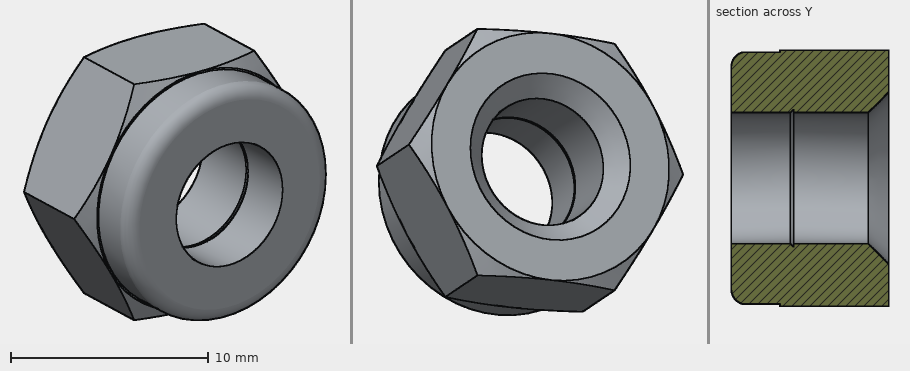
import cadquery as cq
import math

across_corners = 15.01
across_flats = across_corners * math.cos(math.radians(30))
hex_length = 5.52
corner_bevel_angle = 30.0

total_length = 8.0
collar_diameter = 12.8
rim_length = 0.6
rim_radius = 0.8

bore_diameter = 6.65
countersink_diameter = 8.75
countersink_angle = 45.0

groove_start = 4.83
groove_depth = 0.17
groove_angle = 45.0


def cylinder(diameter, length):
    """Cylinder along +X, starting at the front face."""
    return cq.Workplane("YZ").circle(diameter / 2).extrude(length)


def revolve_about_x(points):
    """Solid of revolution from an (x, radius) outline."""
    return cq.Workplane("XY").polyline(points).close().revolve(360, (0, 0, 0), (1, 0, 0))


def make_hexagon():
    """Hexagonal prism with its corners bevelled at both ends."""
    flat_radius = across_flats / 2
    corner_radius = across_corners / 2
    bevel_length = (corner_radius - flat_radius) * math.tan(math.radians(corner_bevel_angle))
    bevel_envelope = revolve_about_x([
        (0, 0),
        (0, flat_radius),
        (bevel_length, corner_radius),
        (hex_length - bevel_length, corner_radius),
        (hex_length, flat_radius),
        (hex_length, 0),
    ])
    prism = cq.Workplane("YZ").polygon(6, across_corners).extrude(hex_length)
    return prism.intersect(bevel_envelope)


def make_collar():
    """Collar whose rear rim is an arc that runs tangent into the rear face."""
    radius = collar_diameter / 2
    rim_start = total_length - rim_length
    arc_center_x = total_length - rim_radius
    start_angle = math.acos((rim_start - arc_center_x) / rim_radius)
    arc_center_y = radius - rim_radius * math.sin(start_angle)
    arc_middle = (
        arc_center_x + rim_radius * math.cos(start_angle / 2),
        arc_center_y + rim_radius * math.sin(start_angle / 2),
    )
    outline = (
        cq.Workplane("XY")
        .lineTo(0, radius)
        .lineTo(rim_start, radius)
        .threePointArc(arc_middle, (total_length, arc_center_y))
        .lineTo(total_length, 0)
        .close()
    )
    return outline.revolve(360, (0, 0, 0), (1, 0, 0))


def make_countersink():
    """Cone that narrows from the front face down to the bore."""
    radius = countersink_diameter / 2
    depth = (radius - bore_diameter / 2) / math.tan(math.radians(countersink_angle))
    return revolve_about_x([(0, 0), (0, radius), (depth, bore_diameter / 2), (depth, 0)])


def make_groove():
    """Bore groove with a square front wall and a rear wall tapering back to the bore."""
    radius = bore_diameter / 2
    length = groove_depth / math.tan(math.radians(groove_angle))
    return revolve_about_x([
        (groove_start, 0),
        (groove_start, radius + groove_depth),
        (groove_start + length, radius),
        (groove_start + length, 0),
    ])


result = (
    make_hexagon()
    .union(make_collar())
    .cut(cylinder(bore_diameter, total_length))
    .cut(make_countersink())
    .cut(make_groove())
)